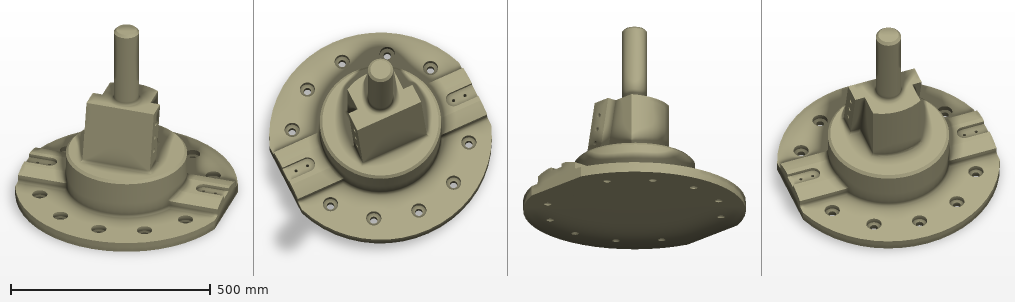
import cadquery as cq
import math

INCH = 25.4

flange_diameter = 22 * INCH
flange_width = 20.75 * INCH
flange_thickness = 1 * INCH

hub_diameter = 12 * INCH
hub_top_z = 5 * INCH

edge_size = 0.25 * INCH

rail_half_width = 2.75 * INCH
rail_flat_half_width = 1.25 * INCH
rail_shoulder_z = flange_thickness + 0.75 * INCH
rail_crown_radius = 7.75 * INCH
crown_center_z = rail_shoulder_z - math.sqrt(rail_crown_radius**2 - rail_half_width**2)
crown_peak_z = crown_center_z + rail_crown_radius
rail_top_z = crown_center_z + math.sqrt(rail_crown_radius**2 - rail_flat_half_width**2)

pocket_width = 1.5 * INCH
pocket_depth = 0.34375 * INCH
pocket_end_x = 8 * INCH
pocket_hole_spacing = 1.25 * INCH
pocket_hole_diameter = 0.3125 * INCH
pocket_hole_depth = 0.75 * INCH

bolt_circle_diameter = 17.5 * INCH
bolt_pitch_count = 12
bolt_diameter = 0.75 * INCH
counterbore_diameter = 1.5 * INCH
counterbore_depth = 0.5 * INCH

block_top_z = 11 * INCH
body_half_width = 2.5 * INCH
body_back_y = 3 * INCH
body_back_radius = 5 * INCH
slab_width = 7 * INCH
slab_thickness = 2 * INCH
slab_lean_angle = 12.5
slab_lean = math.tan(math.radians(slab_lean_angle))

side_hole_diameter = 0.4375 * INCH
side_hole_depth = 1 * INCH
side_hole_count = 3
side_hole_spacing = 1.375 * INCH
side_hole_top_drop = 1.5 * INCH
drill_point_angle = 118

shaft_diameter = 2.5 * INCH
shaft_top_z = 19 * INCH

tolerance = 0.01


def make_flange():
    disc = cq.Workplane("XY").circle(flange_diameter / 2).extrude(flange_thickness)
    return disc.intersect(cq.Workplane("XY").box(flange_width, flange_diameter, 2 * flange_thickness))


def make_hub():
    hub = cq.Workplane("XY").circle(hub_diameter / 2).extrude(hub_top_z)
    return hub.faces(">Z").chamfer(edge_size)


def make_rail():
    """Bar through the hub whose round crown is cut by a flat top."""
    return (
        cq.Workplane("YZ")
        .moveTo(-rail_half_width, 0)
        .lineTo(rail_half_width, 0)
        .lineTo(rail_half_width, rail_shoulder_z)
        .threePointArc((0, crown_peak_z), (-rail_half_width, rail_shoulder_z))
        .close()
        .extrude(flange_width / 2, both=True)
        .intersect(cq.Workplane("XY").box(flange_width, 2 * rail_half_width, 2 * rail_top_z))
    )


def make_block():
    """Round-backed body joined to a slab that leans back as it rises."""
    height = block_top_z - hub_top_z
    lean_offset = height * slab_lean
    body_corner_y = body_back_y - body_back_radius + math.sqrt(body_back_radius**2 - body_half_width**2)
    body = (
        cq.Workplane("XY", origin=(0, 0, hub_top_z))
        .moveTo(-body_half_width, -slab_thickness)
        .lineTo(body_half_width, -slab_thickness)
        .lineTo(body_half_width, body_corner_y)
        .threePointArc((0, body_back_y), (-body_half_width, body_corner_y))
        .close()
        .extrude(height)
    )
    slab = (
        cq.Workplane("YZ")
        .moveTo(0, block_top_z)
        .lineTo(-slab_thickness, block_top_z)
        .lineTo(-slab_thickness - lean_offset, hub_top_z)
        .lineTo(-lean_offset, hub_top_z)
        .close()
        .extrude(slab_width / 2, both=True)
    )
    return body.union(slab)


def make_shaft():
    shaft = cq.Workplane("XY").circle(shaft_diameter / 2).extrude(shaft_top_z)
    return shaft.faces(">Z").chamfer(edge_size)


def ledge_edges(part, z, reach):
    """Edges at height z that lie inside a square of half-size reach."""
    low = (-reach, -reach, z - tolerance)
    high = (reach, reach, z + tolerance)
    return part.edges(cq.selectors.BoxSelector(low, high, boundingbox=True))


def make_upper():
    """Hub, block and shaft with the blends at the block and shaft feet."""
    upper = make_hub().union(make_block())
    block_reach = slab_width / 2 + edge_size
    upper = ledge_edges(upper, hub_top_z, block_reach).fillet(edge_size)
    upper = upper.union(make_shaft())
    shaft_reach = shaft_diameter / 2 + tolerance
    return ledge_edges(upper, block_top_z, shaft_reach).fillet(edge_size)


def cut_bolt_holes(part):
    seat_z = flange_thickness - counterbore_depth
    for index in range(bolt_pitch_count):
        if index % (bolt_pitch_count // 2) == 0:
            continue
        angle = math.radians(index * 360 / bolt_pitch_count)
        x = bolt_circle_diameter / 2 * math.cos(angle)
        y = bolt_circle_diameter / 2 * math.sin(angle)
        hole = cq.Workplane("XY").center(x, y).circle(bolt_diameter / 2).extrude(flange_thickness)
        seat = (
            cq.Workplane("XY", origin=(0, 0, seat_z))
            .center(x, y)
            .circle(counterbore_diameter / 2)
            .extrude(counterbore_depth)
        )
        part = part.cut(hole).cut(seat)
    return part


def drilled_hole(diameter, depth, entry, direction):
    """Blind hole with a conical drill point beyond its full-diameter depth."""
    radius = diameter / 2
    point_length = radius / math.tan(math.radians(drill_point_angle / 2))
    start = cq.Vector(*entry)
    axis = cq.Vector(*direction)
    barrel = cq.Solid.makeCylinder(radius, depth, start, axis)
    point = cq.Solid.makeCone(radius, 0, point_length, start + axis * depth, axis)
    return barrel.fuse(point)


def cut_rail_pockets(part):
    floor_z = rail_top_z - pocket_depth
    pocket_length = flange_width / 2 - pocket_end_x
    for side in (-1, 1):
        round_end = (
            cq.Workplane("XY", origin=(side * pocket_end_x, 0, floor_z))
            .circle(pocket_width / 2)
            .extrude(pocket_depth)
        )
        channel = (
            cq.Workplane("XY", origin=(side * (pocket_end_x + pocket_length / 2), 0, floor_z))
            .rect(pocket_length, pocket_width)
            .extrude(pocket_depth)
        )
        part = part.cut(round_end).cut(channel)
        for x in (pocket_end_x, pocket_end_x + pocket_hole_spacing):
            entry = (side * x, 0, floor_z)
            part = part.cut(drilled_hole(pocket_hole_diameter, pocket_hole_depth, entry, (0, 0, -1)))
    return part


def cut_side_holes(part):
    """Rows of holes following the lean of the slab, halfway through its thickness."""
    for side in (-1, 1):
        for index in range(side_hole_count):
            drop = side_hole_top_drop + index * side_hole_spacing
            y = -slab_thickness / 2 - drop * slab_lean
            entry = (side * slab_width / 2, y, block_top_z - drop)
            part = part.cut(drilled_hole(side_hole_diameter, side_hole_depth, entry, (-side, 0, 0)))
    return part


def foot_edges(part):
    """Edges where the hub and the rails meet the flange and each other."""
    hub_radius = hub_diameter / 2
    found = []
    for edge in part.edges().vals():
        box = edge.BoundingBox()
        middle = edge.positionAt(0.5)
        at_hub = abs(math.hypot(middle.x, middle.y) - hub_radius) < tolerance
        hub_foot = at_hub and flange_thickness - tolerance < box.zmin and box.zmax < rail_top_z + tolerance
        on_flange = abs(box.zmin - flange_thickness) + abs(box.zmax - flange_thickness) < tolerance
        rail_foot = on_flange and abs(abs(middle.y) - rail_half_width) < tolerance
        if hub_foot or rail_foot:
            found.append(edge)
    return part.newObject(found)


base = make_flange().union(make_rail()).union(make_upper())
base = foot_edges(base).fillet(edge_size)
result = cut_side_holes(cut_rail_pockets(cut_bolt_holes(base)))